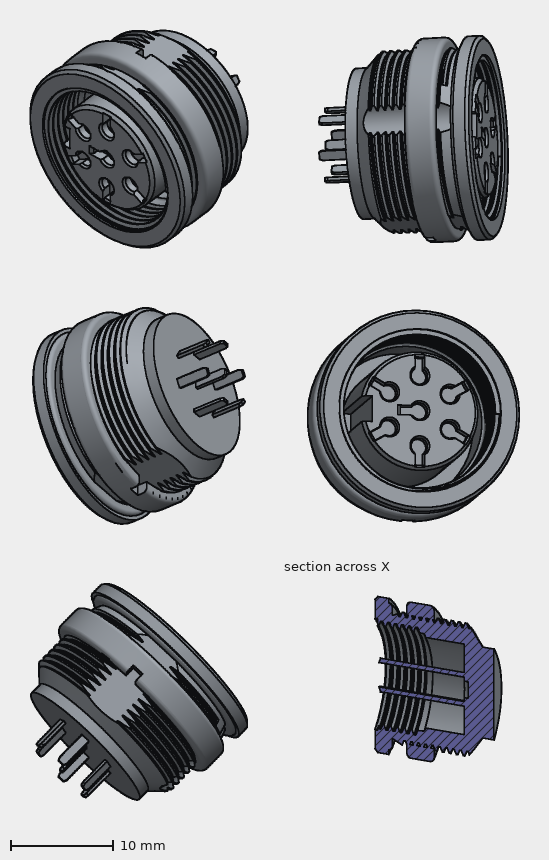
import cadquery as cq
import math


flange_radius = 10.0
flange_chamfer = 0.32
flange_back = 1.5
seat_radius = 9.6
seat_round = 0.4
seat_back = flange_back + seat_round
thread_pitch = 0.75
thread_radius = 9.0
thread_root_radius = 8.6
relief_back = 2.95
collar_radius = 7.4
collar_start = 11.6
shell_back = 12.8
shoulder_back = collar_start - (thread_radius - collar_radius)

recess_radius = 8.1
recess_depth = 0.25
bore_radius = 7.6
inner_bore_radius = 7.35
inner_bore_start = 5.4
bore_floor = 9.6
socket_radius = 5.65
socket_floor = 10.0
bore_thread_root_radius = 7.98
bore_thread_root_flat = 0.15
bore_thread_start_angle = 0.0
bore_thread_turns = 6

thread_start = 2.6
thread_start_angle = 157.5
thread_turns = 11
thread_half_angle = 30.0
thread_root_flat = 0.1
thread_overshoot = 0.08

flat_height = 8.4
flat_clearance = 0.2
groove_radius = 2.0
groove_bottom = 8.2

nut_front = 3.4
nut_back = 6.4
nut_round = 0.48
nut_slot_width = 1.25
nut_slot_depth = 1.05

insert_radius = 5.88
insert_front = 0.2
insert_chamfer_width = 0.32
insert_chamfer_length = 0.4
key_width = 2.52
key_bottom = 4.75

contact_circle_radius = 3.5
contact_count = 6
first_contact_angle = 30.0
contact_hole_radius = 0.82
contact_rim_radius = 0.98
contact_rim_depth = 0.28
contact_depth = 1.05
contact_slot_width = 0.95
contact_slot_length = 2.22
contact_slot_floor_length = 1.88
contact_slot_ramp = 0.28

pin_back = 16.25
pin_width = 0.95
pin_thickness = 0.35
pin_tip_width = 0.68
pin_tip_length = 0.32
pin_embedding = 0.2


def box(x_range, y_range, z_range):
    """A box given by its low and high limit along each axis."""
    sizes = [high - low for low, high in (x_range, y_range, z_range)]
    corner = (x_range[0], y_range[0], z_range[0])
    return cq.Workplane("XY").box(*sizes, centered=False).translate(corner)


def cylinder(radius, front, back):
    """A cylinder on the Y axis."""
    return cq.Workplane("XZ", origin=(0, front, 0)).circle(radius).extrude(front - back)


def turn(shape, angle):
    """Turn a shape about the Y axis, from +X towards +Z."""
    return shape.rotate((0, 0, 0), (0, 1, 0), -angle)


def thread_groove(crest_radius, root_radius, root_flat, front, start_angle):
    """One right-handed turn of a V groove about the Y axis, from the root to past the crest."""
    outward = math.copysign(1, crest_radius - root_radius)
    open_radius = crest_radius + outward * thread_overshoot
    slope = math.tan(math.radians(thread_half_angle))
    half_root = root_flat / 2
    half_open = half_root + abs(open_radius - root_radius) * slope
    profile = [
        (root_radius, -half_root),
        (root_radius, half_root),
        (open_radius, half_open),
        (open_radius, -half_open),
    ]
    helix = cq.Wire.makeHelix(thread_pitch, thread_pitch, root_radius)
    groove = cq.Workplane("XZ").polyline(profile).close().sweep(cq.Workplane(helix), isFrenet=True)
    groove = groove.rotate((0, 0, 0), (1, 0, 0), -90).translate((0, front, 0))
    return turn(groove, start_angle)


def cut_thread(body, groove, turns):
    """Cut the groove turn by turn, each turn starting where the one before it ends."""
    for index in range(turns):
        body = body.cut(groove.translate((0, index * thread_pitch, 0)))
    return body


def shell():
    """Flange, threaded barrel and collar, bored from the front with a socket for the insert."""
    seat_edge = seat_radius - seat_round
    seat_diagonal = seat_round * math.sqrt(0.5)
    ledge_round = bore_radius - inner_bore_radius
    ledge_start = inner_bore_start - ledge_round
    ledge_diagonal = ledge_round * (1 - math.sqrt(0.5))
    ledge_middle = (bore_radius - ledge_diagonal, inner_bore_start - ledge_diagonal)
    return (
        cq.Workplane("XY")
        .moveTo(0, socket_floor)
        .lineTo(socket_radius, socket_floor)
        .lineTo(socket_radius, bore_floor)
        .lineTo(inner_bore_radius, bore_floor)
        .lineTo(inner_bore_radius, inner_bore_start)
        .threePointArc(ledge_middle, (bore_radius, ledge_start))
        .lineTo(bore_radius, recess_depth)
        .lineTo(recess_radius, recess_depth)
        .lineTo(recess_radius, 0)
        .lineTo(flange_radius - flange_chamfer, 0)
        .lineTo(flange_radius, flange_chamfer)
        .lineTo(flange_radius, flange_back)
        .lineTo(seat_radius, flange_back)
        .threePointArc((seat_edge + seat_diagonal, flange_back + seat_diagonal), (seat_edge, seat_back))
        .lineTo(thread_root_radius, seat_back)
        .lineTo(thread_radius, relief_back)
        .lineTo(thread_radius, shoulder_back)
        .lineTo(collar_radius, collar_start)
        .lineTo(collar_radius, shell_back)
        .lineTo(0, shell_back)
        .close()
        .revolve(360, (0, 0, 0), (0, 1, 0))
    )


def outer_groove():
    return thread_groove(
        thread_radius, thread_root_radius, thread_root_flat, thread_start, thread_start_angle
    )


def bore_groove():
    return thread_groove(
        bore_radius, bore_thread_root_radius, bore_thread_root_flat, recess_depth, bore_thread_start_angle
    )


def barrel_flat():
    across = (-thread_radius, thread_radius)
    return box(across, (seat_back, collar_start), (flat_height, thread_radius + flat_clearance))


def locating_groove():
    axis = cylinder(groove_radius, seat_back, collar_start)
    return axis.translate((-groove_bottom - groove_radius, 0, 0))


def ring_nut():
    """Rounded ring seated halfway down the thread, with two spanner slots in its back."""
    bore = (thread_radius + thread_root_radius) / 2
    nut = cylinder(flange_radius, nut_front, nut_back).edges().fillet(nut_round)
    nut = nut.cut(cylinder(bore, nut_front, nut_back))
    half_slot = nut_slot_width / 2
    slots = box(
        (-half_slot, half_slot),
        (nut_back - nut_slot_depth, nut_back),
        (-flange_radius, flange_radius),
    )
    return nut.cut(slots)


def insert():
    """Contact carrier with a chamfered front, a spigot that fills the socket, and a key slot."""
    body = cylinder(insert_radius, insert_front, bore_floor)
    body = body.faces("<Y").chamfer(insert_chamfer_length, insert_chamfer_width)
    body = body.union(cylinder(socket_radius, bore_floor, socket_floor))
    half_key = key_width / 2
    key_slot = box((-insert_radius, -key_bottom), (insert_front, socket_floor), (-half_key, half_key))
    return body.cut(key_slot)


def contact_pocket():
    """Blind hole with a countersunk rim, and a slot with a ramped end running to +X."""
    floor = insert_front + contact_depth
    hole = cylinder(contact_hole_radius, insert_front, floor)
    rim = (
        cq.Workplane("XY")
        .moveTo(0, insert_front)
        .lineTo(contact_rim_radius, insert_front)
        .lineTo(contact_hole_radius, insert_front + contact_rim_depth)
        .lineTo(0, insert_front + contact_rim_depth)
        .close()
        .revolve(360, (0, 0, 0), (0, 1, 0))
    )
    slot = (
        cq.Workplane("XY")
        .moveTo(0, insert_front)
        .lineTo(contact_slot_length, insert_front)
        .lineTo(contact_slot_floor_length, insert_front + contact_slot_ramp)
        .lineTo(contact_slot_floor_length, floor)
        .lineTo(0, floor)
        .close()
        .extrude(contact_slot_width / 2, both=True)
    )
    return hole.union(rim).union(slot)


def solder_pin():
    """Flat blade with a chamfered tip, its broad faces square to X."""
    half_width = pin_width / 2
    half_tip = pin_tip_width / 2
    pin_start = shell_back - pin_embedding
    tip_start = pin_back - pin_tip_length
    outline = [
        (pin_start, -half_width),
        (tip_start, -half_width),
        (pin_back, -half_tip),
        (pin_back, half_tip),
        (tip_start, half_width),
        (pin_start, half_width),
    ]
    return cq.Workplane("YZ").polyline(outline).close().extrude(pin_thickness / 2, both=True)


contacts = [(0, 180)]
for index in range(contact_count):
    contacts.append((contact_circle_radius, first_contact_angle + index * 360 / contact_count))

carrier = insert()
for radius, angle in contacts:
    carrier = carrier.cut(turn(contact_pocket().translate((radius, 0, 0)), angle))

result = cut_thread(shell(), bore_groove(), bore_thread_turns)
result = result.cut(barrel_flat()).cut(turn(barrel_flat(), 180)).cut(locating_groove())
result = cut_thread(result, outer_groove(), thread_turns)
result = result.union(ring_nut()).union(carrier)
for radius, angle in contacts:
    result = result.union(turn(solder_pin().translate((radius, 0, 0)), angle))